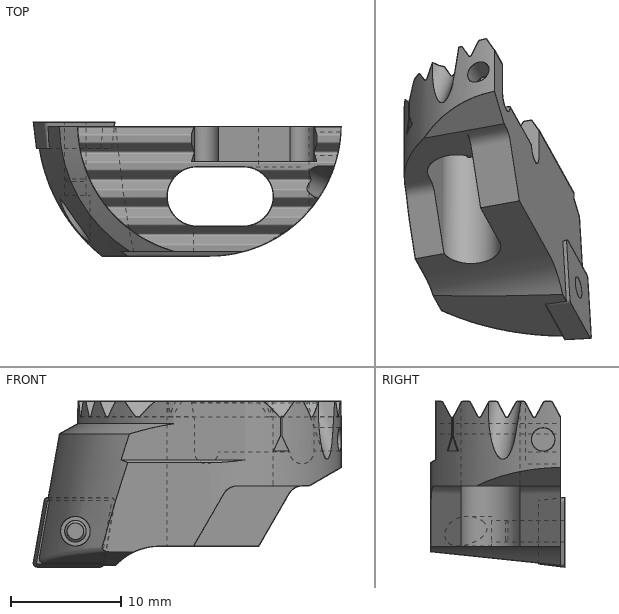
import cadquery as cq
import math

TOP_Z = 15.1
AXIS_X = 16.02
AXIS_Y = 0.17
BODY_RADIUS = 11.98
FRONT_Y = AXIS_Y - BODY_RADIUS
STOCK = 56.0
OVERCUT = 2.8

NOSE_SLOPE = math.tan(math.radians(10))
NOSE_TOP_Z = 12.12
NOSE_TOP_RADIUS = 13.65
COLLAR_Z = 13.05
BOTTOM_RISE = 6.0
BOTTOM_Z = 0.17
NOSE_EDGE_RADIUS = 0.42

STEP_FACE_Y = -11.37
STEP_TOP_Z = 9.77
STEP_ANGLE = math.radians(30)

SOLE_Z = 1.9
HEEL_RADIUS = 5.5
HEEL_END_X = 11.48
TAIL_FOOT_X = 20.5
CUT_FOOT_X = 14.55
TAIL_Z = 7.4
TAIL_ANGLE = math.radians(60)
TAIL_FILLET = 1.4
TIP_BEVEL_X = 25.1
TIP_BEVEL_ANGLE = math.radians(30)

TOOTH_PITCH = 2.5
TOOTH_COUNT = 5
VALLEY_Z = 13.65
VALLEY_RADIUS = 0.155
FIRST_VALLEY_Y = 0.08
FLANK_ANGLE = math.radians(28)
TOOTH_ROUNDING = 0.2

WINDOW_LENGTH = 9.63
WINDOW_WIDTH = 5.38
WINDOW_X = 17.0
WINDOW_Y = -6.38
SLOT_DEPTH_Y = 3.2
SLOT_FLOOR_Z = 10.5
SLOT_LEFT_X = 14.65
SLOT_RIGHT_X = 25.5
SLOT_FLARE = 0.28
SLOT_FLARE_Z = 13.45
TROUGH_RADIUS = 1.1
SIDE_HOLE_RADIUS = 1.05
SIDE_HOLE_Z = 11.62
NOTCH_RADIUS = 1.48
NOTCH_TILT = 21.4
NOTCH_AZIMUTH = -24.9
NOTCH_SHIFT = -0.48
NOTCH_WALL_TURN = 26.6
NOTCH_FOOT_Z = 9.8

MARK_X = 22.55
MARK_BASE_Z = 10.58
MARK_APEX_Z = 11.9
MARK_HALF_WIDTH = 0.7
MARK_LINE_WIDTH = 0.17
MARK_DEPTH = 0.08

INSERT_HEIGHT = 6.35
INSERT_THICKNESS = 2.4
INSERT_PROUD = 0.35
INSERT_CORNER = 0.4
INSERT_LEAN = math.radians(10)
INSERT_RELIEF = 7.0

SCREW_X = 3.85
SCREW_Z = 3.28
SCREW_RADIUS = 0.98
SCREW_TIP_Y = -5.05
SCREW_TIP_CHAMFER = 0.22
ACCESS_RADIUS = 1.35
ACCESS_FLOOR_Y = -6.3


def box(x, y, z):
    """Box spanning the given (low, high) pairs."""
    size = [high - low for low, high in (x, y, z)]
    return cq.Workplane("XY").box(*size, centered=False).translate((x[0], y[0], z[0]))


def along_y(x, z, radius, y_low, y_high):
    """Cylinder parallel to Y."""
    plane = cq.Workplane("XZ", origin=(x, y_high, z))
    return plane.circle(radius).extrude(y_high - y_low)


def prism_y(outline, y_low, y_high):
    """Extrude an X-Z outline between two Y positions."""
    return cq.Workplane("XZ", origin=(0, y_high, 0)).polyline(outline).close().extrude(y_high - y_low)


def nose():
    """Left half: a cone widening downwards, cut by the tilted bottom and rounded there."""
    foot_z = -OVERCUT
    foot_radius = NOSE_TOP_RADIUS + NOSE_SLOPE * (NOSE_TOP_Z - foot_z)
    half_outline = [
        (0, foot_z),
        (foot_radius, foot_z),
        (NOSE_TOP_RADIUS, NOSE_TOP_Z),
        (BODY_RADIUS, COLLAR_Z),
        (BODY_RADIUS, TOP_Z),
        (0, TOP_Z),
    ]
    cone = cq.Workplane("XZ").polyline(half_outline).close().revolve(360, (0, 0), (0, 1))
    cone = cone.translate((AXIS_X, AXIS_Y, 0))
    below = box((-STOCK, STOCK), (-STOCK, STOCK), (-STOCK, 0))
    below = below.rotate((0, 0, 0), (1, 0, 0), -BOTTOM_RISE).translate((0, 0, BOTTOM_Z))
    cone = cone.cut(below).faces("<Z").edges().fillet(NOSE_EDGE_RADIUS)
    return cone.intersect(box((-STOCK, AXIS_X), (FRONT_Y, 0), (-STOCK, TOP_Z)))


def round_side():
    """Right half: a plain vertical cylinder."""
    cylinder = cq.Workplane("XY").circle(BODY_RADIUS).extrude(TOP_Z).translate((AXIS_X, AXIS_Y, 0))
    return cylinder.intersect(box((AXIS_X, STOCK), (FRONT_Y, 0), (0, TOP_Z)))


def front_step():
    """Material removed so that the upper front face sits back behind a sloping ledge."""
    outer_y = FRONT_Y - OVERCUT
    outer_z = STEP_TOP_Z - (STEP_FACE_Y - outer_y) * math.tan(STEP_ANGLE)
    outline = [
        (STEP_FACE_Y, STEP_TOP_Z),
        (STEP_FACE_Y, STOCK),
        (outer_y, STOCK),
        (outer_y, outer_z),
    ]
    return cq.Workplane("YZ").polyline(outline).close().extrude(STOCK)


def heel_relief():
    """Space under the sole, joined to the nose bottom by a large arc."""
    disc = along_y(HEEL_END_X, SOLE_Z - HEEL_RADIUS, HEEL_RADIUS, -STOCK, STOCK)
    return disc.union(box((HEEL_END_X, STOCK), (-STOCK, STOCK), (-STOCK, SOLE_Z)))


def tail_undercut(foot_x, y_high):
    """Space below the tail, right of a sloping wall that starts at foot_x on the sole."""
    drop = SOLE_Z + OVERCUT
    wall_bottom_x = foot_x - drop / math.tan(TAIL_ANGLE)
    wall_top_x = foot_x + (TAIL_Z - SOLE_Z) / math.tan(TAIL_ANGLE)
    outline = [
        (wall_bottom_x, SOLE_Z - drop),
        (wall_top_x, TAIL_Z),
        (STOCK, TAIL_Z),
        (STOCK, SOLE_Z - drop),
    ]
    cutter = prism_y(outline, -STOCK, y_high)
    corner = cq.selectors.NearestToPointSelector((wall_top_x, (y_high - STOCK) / 2, TAIL_Z))
    return cutter.edges("|Y").edges(corner).fillet(TAIL_FILLET)


def tip_bevel():
    """Sloping cut under the far end of the tail."""
    rise = (STOCK - TIP_BEVEL_X) * math.tan(TIP_BEVEL_ANGLE)
    outline = [(TIP_BEVEL_X, TAIL_Z), (STOCK, TAIL_Z + rise), (STOCK, TAIL_Z)]
    return prism_y(outline, -STOCK, STOCK)


def serration_envelope():
    """Everything below the serrated top: round valleys and blunt teeth swept along X."""
    round_half_width = VALLEY_RADIUS * math.cos(FLANK_ANGLE)
    round_end_z = VALLEY_Z + VALLEY_RADIUS * (1 - math.sin(FLANK_ANGLE))
    crest_offset = round_half_width + (TOP_Z - round_end_z) * math.tan(FLANK_ANGLE)
    last_valley_y = FIRST_VALLEY_Y - TOOTH_COUNT * TOOTH_PITCH
    outline = cq.Workplane("YZ", origin=(-STOCK / 2, 0, 0))
    outline = outline.moveTo(FIRST_VALLEY_Y, -STOCK).lineTo(FIRST_VALLEY_Y, VALLEY_Z)
    for tooth in range(TOOTH_COUNT):
        valley_y = FIRST_VALLEY_Y - tooth * TOOTH_PITCH
        next_y = valley_y - TOOTH_PITCH
        if tooth == 0:
            outline = outline.lineTo(valley_y - round_half_width, round_end_z)
        else:
            outline = outline.threePointArc((valley_y, VALLEY_Z), (valley_y - round_half_width, round_end_z))
        outline = outline.lineTo(valley_y - crest_offset, TOP_Z).lineTo(next_y + crest_offset, TOP_Z)
        outline = outline.lineTo(next_y + round_half_width, round_end_z)
    outline = outline.lineTo(last_valley_y, VALLEY_Z).lineTo(last_valley_y, -STOCK).close()
    envelope = outline.extrude(2 * STOCK)
    crest_edges = cq.selectors.BoxSelector(
        (-STOCK, last_valley_y, VALLEY_Z + VALLEY_RADIUS),
        (STOCK, FIRST_VALLEY_Y, STOCK),
    )
    return envelope.edges("|X").edges(crest_edges).fillet(TOOTH_ROUNDING)


def window():
    """Oblong opening that passes right through, with the tail open in front of it."""
    return cq.Workplane("XY").center(WINDOW_X, WINDOW_Y).slot2D(WINDOW_LENGTH, WINDOW_WIDTH).extrude(STOCK)


def mounting_slot():
    """Slot open to the mounting face, with flared walls and a trough in each corner."""
    outline = [
        (SLOT_LEFT_X, SLOT_FLOOR_Z),
        (SLOT_LEFT_X, SLOT_FLARE_Z),
        (SLOT_LEFT_X - SLOT_FLARE, TOP_Z),
        (SLOT_RIGHT_X + SLOT_FLARE, TOP_Z),
        (SLOT_RIGHT_X, SLOT_FLARE_Z),
        (SLOT_RIGHT_X, SLOT_FLOOR_Z),
    ]
    slot = prism_y(outline, -SLOT_DEPTH_Y, 0)
    for trough_x in (SLOT_LEFT_X + TROUGH_RADIUS, SLOT_RIGHT_X - TROUGH_RADIUS):
        slot = slot.union(along_y(trough_x, SLOT_FLOOR_Z, TROUGH_RADIUS, -SLOT_DEPTH_Y, 0))
    return slot


def side_hole():
    """Hole from the round side into the middle of the mounting slot."""
    start_x = SLOT_RIGHT_X - TROUGH_RADIUS
    plane = cq.Workplane("YZ", origin=(start_x, -SLOT_DEPTH_Y / 2, SIDE_HOLE_Z))
    return plane.circle(SIDE_HOLE_RADIUS).extrude(STOCK)


def side_notch():
    """Tilted round notch in the round side, opened towards +X by one flat tangent wall."""
    length = STOCK / 2
    groove = cq.Workplane("XY").circle(NOTCH_RADIUS).extrude(length, both=True)
    opening = box((0, STOCK), (0, NOTCH_RADIUS), (-length, length))
    groove = groove.union(opening.rotate((0, 0, 0), (0, 0, 1), NOTCH_WALL_TURN))
    axis_distance = BODY_RADIUS + NOTCH_RADIUS / math.cos(math.radians(NOTCH_TILT))
    groove = groove.rotate((0, 0, 0), (0, 1, 0), -NOTCH_TILT)
    groove = groove.translate((axis_distance, NOTCH_SHIFT, NOTCH_FOOT_Z))
    return groove.rotate((0, 0, 0), (0, 0, 1), NOTCH_AZIMUTH).translate((AXIS_X, AXIS_Y, 0))


def index_mark():
    """Shallow engraved arrow: a triangle with a line up to the last tooth valley."""
    half_line = MARK_LINE_WIDTH / 2
    outline = [
        (MARK_X - MARK_HALF_WIDTH, MARK_BASE_Z),
        (MARK_X - half_line, MARK_APEX_Z),
        (MARK_X - half_line, TOP_Z),
        (MARK_X + half_line, TOP_Z),
        (MARK_X + half_line, MARK_APEX_Z),
        (MARK_X + MARK_HALF_WIDTH, MARK_BASE_Z),
    ]
    core = cq.Workplane("XY").circle(BODY_RADIUS - MARK_DEPTH).extrude(TOP_Z)
    return prism_y(outline, FRONT_Y, AXIS_Y + FRONT_Y / 2).cut(core.translate((AXIS_X, AXIS_Y, 0)))


def insert_blank():
    """Rhombus with rounded corners that tapers from its outer face inwards."""
    lean = INSERT_HEIGHT * math.tan(INSERT_LEAN)
    side = INSERT_HEIGHT / math.cos(INSERT_LEAN)
    corner_x = INSERT_CORNER * (1 - (1 + math.sin(INSERT_LEAN)) / math.cos(INSERT_LEAN))
    outline = [
        (corner_x, 0),
        (corner_x + side, 0),
        (corner_x + side + lean, INSERT_HEIGHT),
        (corner_x + lean, INSERT_HEIGHT),
    ]
    rhombus = cq.Sketch().polygon(outline + outline[:1]).vertices().fillet(INSERT_CORNER)
    plane = cq.Workplane("XZ", origin=(0, INSERT_PROUD, 0))
    return plane.placeSketch(rhombus).extrude(INSERT_THICKNESS, taper=INSERT_RELIEF)


def make_screw():
    """Insert screw with a chamfered tip."""
    screw = along_y(SCREW_X, SCREW_Z, SCREW_RADIUS, SCREW_TIP_Y, INSERT_PROUD)
    return screw.faces("<Y").chamfer(SCREW_TIP_CHAMFER)


def screw_bore():
    """Hole for the screw, longer than the screw itself."""
    return along_y(SCREW_X, SCREW_Z, SCREW_RADIUS, ACCESS_FLOOR_Y, INSERT_PROUD)


def make_insert():
    """Insert with its screw hole."""
    return insert_blank().cut(screw_bore())


def make_holder():
    """Holder with a fitted seat for the insert and a bore for the screw."""
    body = nose().union(round_side())
    body = body.intersect(serration_envelope())
    window_wall_y = WINDOW_Y + WINDOW_WIDTH / 2
    body = body.cut(front_step()).cut(heel_relief()).cut(tip_bevel())
    body = body.cut(tail_undercut(TAIL_FOOT_X, STOCK)).cut(tail_undercut(CUT_FOOT_X, window_wall_y))
    body = body.cut(window()).cut(mounting_slot()).cut(side_hole()).cut(side_notch()).cut(index_mark())
    body = body.cut(insert_blank()).cut(screw_bore())
    return body.cut(along_y(SCREW_X, SCREW_Z, ACCESS_RADIUS, -STOCK, ACCESS_FLOOR_Y))


holder = make_holder()
insert = make_insert()
screw = make_screw()

result = cq.Compound.makeCompound([holder.val(), insert.val(), screw.val()])